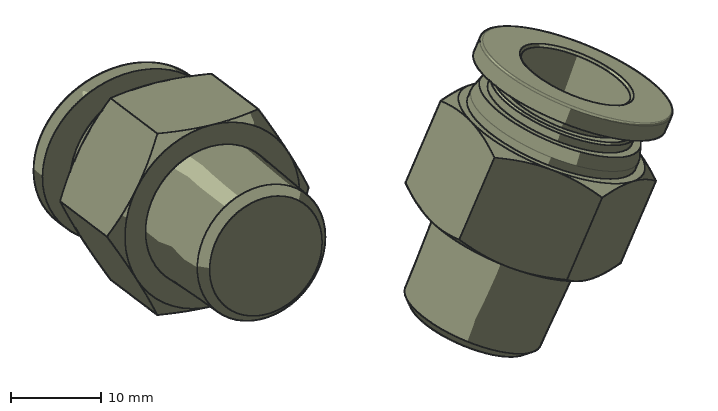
import cadquery as cq
import math


bore_diameter = 13.0
bore_floor_x = 18.0
bore_chamfer = 0.3

flange_width = 23.0
flange_height = 20.5
flange_thickness = 2.2
flange_edge_fillet = 0.25
neck_diameter = 14.8
neck_root_fillet = 0.2

collar_x = 3.8
collar_diameter = 17.3
collar_edge_chamfer = 0.25
shoulder_x = 5.0
shoulder_diameter = 20.2
shoulder_taper_length = 1.5
shoulder_taper_drop = 0.45

sleeve_end_x = shoulder_x

hex_x = 7.5
hex_length = 12.5
hex_across_flats = 22.23
hex_across_corners = hex_across_flats / math.cos(math.radians(30))
hex_corner_chamfer = 1.0

thread_length = 12.0
thread_root_diameter = 17.0
thread_taper = 1 / 16
thread_chamfer = 1.0

hex_end_x = hex_x + hex_length
total_length = hex_end_x + thread_length


def revolve_about_x(points):
    """Revolve a closed (x, radius) outline about the X axis."""
    return cq.Workplane("XY").polyline(points).close().revolve(360, (0, 0, 0), (1, 0, 0))


def cylinder_along_x(start_x, end_x, diameter):
    return cq.Workplane("YZ", origin=(start_x, 0, 0)).circle(diameter / 2).extrude(end_x - start_x)


def make_release_sleeve():
    flange = (
        cq.Workplane("YZ")
        .ellipse(flange_width / 2, flange_height / 2)
        .extrude(flange_thickness)
        .faces("<X")
        .fillet(flange_edge_fillet)
    )
    neck_radius = neck_diameter / 2
    neck = (
        cq.Workplane("XY")
        .moveTo(flange_thickness, 0)
        .lineTo(flange_thickness, neck_radius + neck_root_fillet)
        .radiusArc((flange_thickness + neck_root_fillet, neck_radius), -neck_root_fillet)
        .lineTo(sleeve_end_x, neck_radius)
        .lineTo(sleeve_end_x, 0)
        .close()
        .revolve(360, (0, 0, 0), (1, 0, 0))
    )
    bore_radius = bore_diameter / 2
    bore = revolve_about_x([
        (0, 0),
        (0, bore_radius + bore_chamfer),
        (bore_chamfer, bore_radius),
        (sleeve_end_x, bore_radius),
        (sleeve_end_x, 0),
    ])
    return flange.union(neck).cut(bore)


def make_hexagon():
    blank = (
        cq.Workplane("YZ", origin=(hex_x, 0, 0))
        .polygon(6, hex_across_corners)
        .extrude(hex_length)
    )
    flat_radius = hex_across_flats / 2
    corner_radius = hex_across_corners / 2
    envelope = revolve_about_x([
        (hex_x, 0),
        (hex_x, flat_radius),
        (hex_x + hex_corner_chamfer, corner_radius),
        (hex_end_x - hex_corner_chamfer, corner_radius),
        (hex_end_x, flat_radius),
        (hex_end_x, 0),
    ])
    return blank.intersect(envelope)


def make_housing():
    shoulder_radius = shoulder_diameter / 2
    collar_radius = collar_diameter / 2
    collar = revolve_about_x([
        (collar_x, 0),
        (collar_x, collar_radius - collar_edge_chamfer),
        (collar_x + collar_edge_chamfer, collar_radius),
        (shoulder_x, collar_radius),
        (shoulder_x, shoulder_radius - shoulder_taper_drop),
        (shoulder_x + shoulder_taper_length, shoulder_radius),
        (hex_x, shoulder_radius),
        (hex_x, 0),
    ])
    thread_root_radius = thread_root_diameter / 2
    taper_length = thread_length - thread_chamfer
    thread_tip_radius = thread_root_radius - taper_length * thread_taper / 2
    thread = revolve_about_x([
        (hex_end_x, 0),
        (hex_end_x, thread_root_radius),
        (total_length - thread_chamfer, thread_tip_radius),
        (total_length, thread_tip_radius - thread_chamfer),
        (total_length, 0),
    ])
    return (
        collar.union(make_hexagon()).union(thread)
        .cut(cylinder_along_x(collar_x, sleeve_end_x, neck_diameter))
        .cut(cylinder_along_x(sleeve_end_x, bore_floor_x, bore_diameter))
    )


release_sleeve = make_release_sleeve()
housing = make_housing()

result = cq.Compound.makeCompound([release_sleeve.val(), housing.val()])